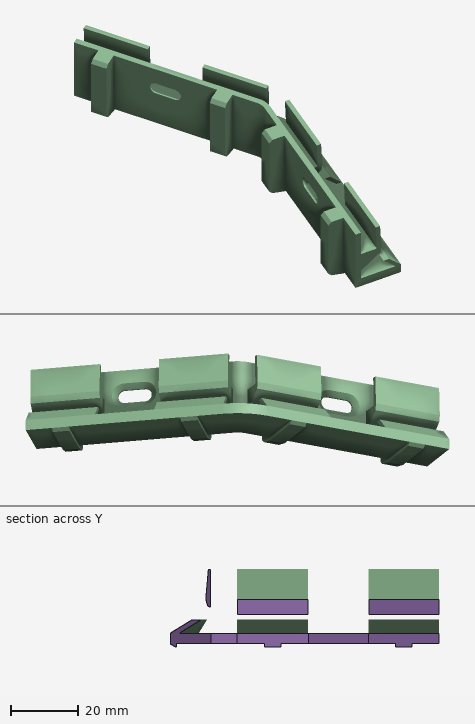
import cadquery as cq
import math


OVERALL_LENGTH = 119.5
BEND_ANGLE = 38.0
INNER_RADIUS = 5.0
DEPTH = 15.1
OUTER_RADIUS = INNER_RADIUS + DEPTH
PLATE_LENGTH = 17.9
bend = math.radians(BEND_ANGLE)
ARM_LENGTH = (OVERALL_LENGTH - OUTER_RADIUS * math.sin(bend)) / (1 + math.cos(bend))
CLIP_LENGTH = (ARM_LENGTH - PLATE_LENGTH) / 2

HEIGHT = 22.1
WALL = 1.8
FLOOR = 3.2
WALL_INNER_Y = INNER_RADIUS + WALL

HOOK_HEIGHT = 4.0
HOOK_THICKNESS = 1.8

LIP_TOP_FRONT = 6.7
LIP_TOP_REAR = 8.1
SLOT_REAR = 7.0
LIP_BULGE = 8.6
LIP_KNEE = 8.2
SLOT_FLOOR_HEIGHT = 13.3
KNEE_HEIGHT = 11.2
BRACKET_ROOT_HEIGHT = 6.3

RIB_WIDTH = 5.0
RIB_PROJECTION = 5.0
RIB_CHAMFER = 1.1
FOOT_DROP = 1.0

SLOT_LENGTH = 10.2
SLOT_HEIGHT = 4.1
SLOT_CENTRE_HEIGHT = 14.2
COUNTERSINK_MARGIN = 1.7
COUNTERSINK_DEPTH = 1.3


def extrude_profile(points, length):
    """Extrude a (Y, Z) outline along X, centred on X = 0."""
    return cq.Workplane("YZ").polyline(points).close().extrude(length / 2, both=True)


def channel_points():
    """L-shaped outline: floor with a wall at the side nearest the bend axis."""
    return [
        (INNER_RADIUS, 0),
        (OUTER_RADIUS, 0),
        (OUTER_RADIUS, FLOOR),
        (WALL_INNER_Y, FLOOR),
        (WALL_INNER_Y, HEIGHT),
        (INNER_RADIUS, HEIGHT),
    ]


def clip_points():
    """Channel outline with the hook on the floor and the lip on the wall."""
    hook_top = FLOOR + HOOK_HEIGHT
    return [
        (INNER_RADIUS, 0),
        (OUTER_RADIUS, 0),
        (OUTER_RADIUS, FLOOR),
        (OUTER_RADIUS - HOOK_HEIGHT, hook_top),
        (OUTER_RADIUS - HOOK_HEIGHT - HOOK_THICKNESS, hook_top),
        (OUTER_RADIUS - HOOK_THICKNESS, FLOOR),
        (WALL_INNER_Y, FLOOR),
        (WALL_INNER_Y, BRACKET_ROOT_HEIGHT),
        (INNER_RADIUS + LIP_KNEE, KNEE_HEIGHT),
        (INNER_RADIUS + LIP_BULGE, SLOT_FLOOR_HEIGHT),
        (INNER_RADIUS + LIP_TOP_REAR, HEIGHT),
        (INNER_RADIUS + LIP_TOP_FRONT, HEIGHT),
        (INNER_RADIUS + SLOT_REAR, SLOT_FLOOR_HEIGHT),
        (WALL_INNER_Y, SLOT_FLOOR_HEIGHT),
        (WALL_INNER_Y, HEIGHT),
        (INNER_RADIUS, HEIGHT),
    ]


def rib_points():
    """Chamfered rib in front of the wall, with the foot below the wall and floor."""
    tip = INNER_RADIUS - RIB_PROJECTION
    return [
        (INNER_RADIUS, HEIGHT),
        (tip + RIB_CHAMFER, HEIGHT),
        (tip, HEIGHT - RIB_CHAMFER),
        (tip, RIB_CHAMFER),
        (tip + RIB_CHAMFER, 0),
        (INNER_RADIUS, -FOOT_DROP),
        (OUTER_RADIUS - FOOT_DROP, -FOOT_DROP),
        (OUTER_RADIUS, 0),
        (INNER_RADIUS, 0),
    ]


def make_clip():
    """Clip section: channel with hook, lip and a rib across its middle."""
    channel = extrude_profile(clip_points(), CLIP_LENGTH)
    rib = extrude_profile(rib_points(), RIB_WIDTH)
    return channel.union(rib)


def screw_slot():
    """Cutter for the slot, widening toward the inner face of the wall."""
    through = (
        cq.Workplane("XZ", origin=(0, WALL_INNER_Y, SLOT_CENTRE_HEIGHT))
        .slot2D(SLOT_LENGTH, SLOT_HEIGHT)
        .extrude(WALL)
    )
    taper = math.degrees(math.atan(COUNTERSINK_MARGIN / COUNTERSINK_DEPTH))
    countersink = (
        cq.Workplane("XZ", origin=(0, WALL_INNER_Y, SLOT_CENTRE_HEIGHT))
        .slot2D(SLOT_LENGTH + 2 * COUNTERSINK_MARGIN, SLOT_HEIGHT + 2 * COUNTERSINK_MARGIN)
        .extrude(COUNTERSINK_DEPTH, taper=taper)
    )
    return through.union(countersink)


def make_plate():
    """Plain channel section with a countersunk screw slot in its wall."""
    return extrude_profile(channel_points(), PLATE_LENGTH).cut(screw_slot())


def make_elbow():
    """Channel outline swept about the Z axis through the bend angle."""
    return (
        cq.Workplane("YZ")
        .polyline(channel_points())
        .close()
        .revolve(BEND_ANGLE, (0, 0, 0), (0, 1, 0))
    )


def place(section, side, distance):
    """Move a section along the right (side = 1) or left (side = -1) arm."""
    moved = section.translate((side * distance, 0, 0))
    if side < 0:
        moved = moved.rotate((0, 0, 0), (0, 0, 1), BEND_ANGLE)
    return moved


clip_distances = [CLIP_LENGTH / 2, ARM_LENGTH - CLIP_LENGTH / 2]
plate_distance = ARM_LENGTH / 2

elbow = make_elbow()
clips = []
plates = []
for side in (1, -1):
    plates.append(place(make_plate(), side, plate_distance).val())
    for distance in clip_distances:
        clips.append(place(make_clip(), side, distance).val())

result = cq.Compound.makeCompound([elbow.val(), *plates, *clips])